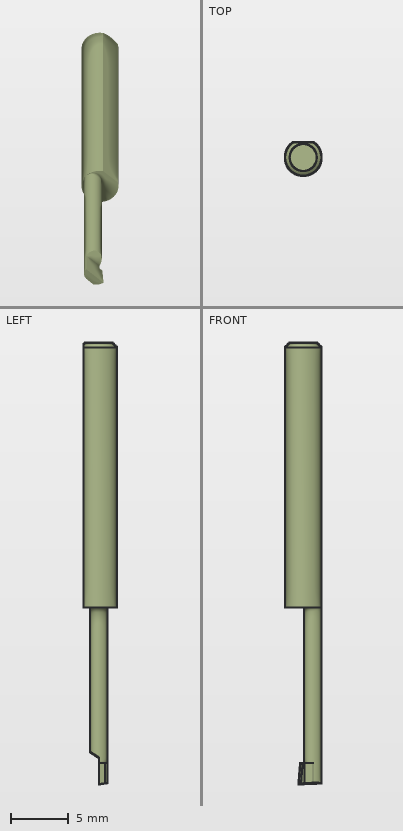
import cadquery as cq


total_length = 38.1
neck_length = 15.24
shank_diameter = 3.175
shank_radius = shank_diameter / 2
width_across_flat = 2.92
flat_y = width_across_flat - shank_radius
end_chamfer = 0.42

neck_diameter = 1.53
neck_radius = neck_diameter / 2
neck_x = shank_radius - neck_radius

rake_height = 2.3
runout_height = 2.8

head_height = 1.85
edge_x_top = -0.27
edge_x_bottom = -0.42
flank_y = -0.52
flank_relief = 0.22
back_x = 0.12

relief_rise = 0.1
end_rise = 0.08


def make_shank():
    shank = (
        cq.Workplane("XY")
        .workplane(offset=neck_length)
        .circle(shank_radius)
        .extrude(total_length - neck_length)
        .faces(">Z")
        .chamfer(end_chamfer)
    )
    beyond_flat = (
        cq.Workplane("XY")
        .box(shank_diameter, shank_radius, total_length, centered=(True, False, False))
        .translate((0, flat_y, 0))
    )
    return shank.cut(beyond_flat)


def make_neck():
    return cq.Workplane("XY").center(neck_x, 0).circle(neck_radius).extrude(neck_length)


def head_section(edge_x, height):
    """Closed outline of the head at one height, with its cutting edge at edge_x."""
    points = [
        (edge_x, 0),
        (edge_x + flank_relief, flank_y),
        (back_x, -neck_radius),
        (neck_x, -neck_radius),
        (neck_x, 0),
    ]
    return cq.Wire.makePolygon([cq.Vector(x, y, height) for x, y in points], close=True)


def make_head():
    """Block with a cutting edge that leans outwards towards the tip."""
    bottom = head_section(edge_x_bottom, 0)
    top = head_section(edge_x_top, head_height)
    return cq.Workplane(cq.Solid.makeLoft([bottom, top], True))


def make_rake_cut():
    """Everything on the +Y side of the rake face, under the sloping run-out."""
    return (
        cq.Workplane("YZ")
        .polyline([(0, 0), (0, rake_height), (neck_radius, runout_height), (neck_radius, 0)])
        .close()
        .extrude(shank_diameter, both=True)
    )


def make_end_relief():
    """Wedge under the end face, whose lowest point is the cutting corner."""
    end_width = shank_radius - edge_x_bottom
    corner = cq.Vector(edge_x_bottom, 0, 0)
    along_end = cq.Vector(end_width, 0, end_rise)
    along_relief = cq.Vector(0, -neck_radius, relief_rise)
    end_plane = cq.Plane(corner, along_end, along_relief.cross(along_end))
    cut_depth = relief_rise + end_rise
    cut_side = 2 * shank_diameter
    return cq.Workplane(end_plane).rect(cut_side, cut_side).extrude(-cut_depth)


result = (
    make_shank()
    .union(make_neck().cut(make_rake_cut()))
    .union(make_head())
    .cut(make_end_relief())
)